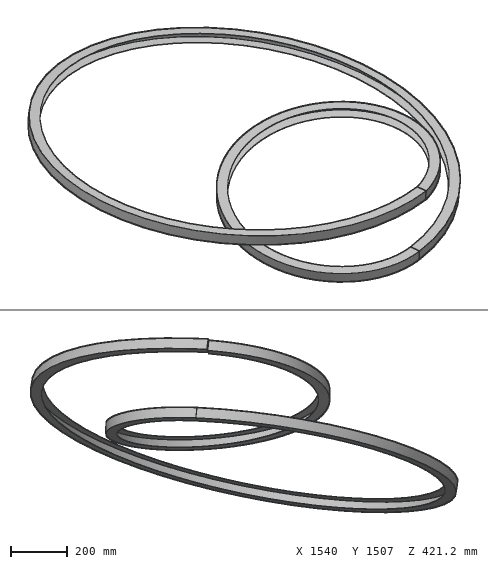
import cadquery as cq
import math

OUTER_RADIUS = 770.0
SECTION = 40.0
WALL = 2.0
LOOP_RISE = 250.0

LARGE_RADIUS = OUTER_RADIUS - SECTION / 2
SMALL_RADIUS = LARGE_RADIUS / 2

SMALL_PITCH_ANGLE = math.degrees(math.atan(LOOP_RISE / (2 * math.pi * SMALL_RADIUS)))
LARGE_PITCH_ANGLE = math.degrees(math.asin(LOOP_RISE / (2 * math.pi * LARGE_RADIUS)))
LEAN = SMALL_PITCH_ANGLE + LARGE_PITCH_ANGLE
LARGE_RISE = LOOP_RISE / math.cos(math.radians(LEAN))

END_OFFSET = LOOP_RISE / 2 * math.tan(math.radians(LEAN))

SMALL_TURNS = 1 - 2 * END_OFFSET / (2 * math.pi * SMALL_RADIUS)


def channel_loop(radius, rise, turns, left_handed):
    """Sweep a C channel, open towards the axis, along a helix centred in height on the origin."""
    path = cq.Wire.makeHelix(rise, rise * turns, radius, lefthand=left_handed)
    hand = -1 if left_handed else 1
    tangent = cq.Vector(0, hand * 2 * math.pi * radius, rise)
    section_plane = cq.Plane(origin=(radius, 0, 0), xDir=(1, 0, 0), normal=tangent)
    half = SECTION / 2
    inner = half - WALL
    section = cq.Workplane(section_plane).polyline([
        (-half, -half),
        (half, -half),
        (half, half),
        (-half, half),
        (-half, inner),
        (inner, inner),
        (inner, -inner),
        (-half, -inner),
    ]).close()
    return section.sweep(cq.Workplane(path), isFrenet=True).translate((0, 0, -rise / 2))


large_loop = channel_loop(LARGE_RADIUS, LARGE_RISE, 1, False)
large_loop = large_loop.rotate((0, 0, 0), (1, 0, 0), -LEAN)

small_loop = channel_loop(SMALL_RADIUS, LOOP_RISE, SMALL_TURNS, True)
small_loop = small_loop.translate((LARGE_RADIUS - SMALL_RADIUS, -END_OFFSET, 0))

result = cq.Compound.makeCompound([large_loop.val(), small_loop.val()])